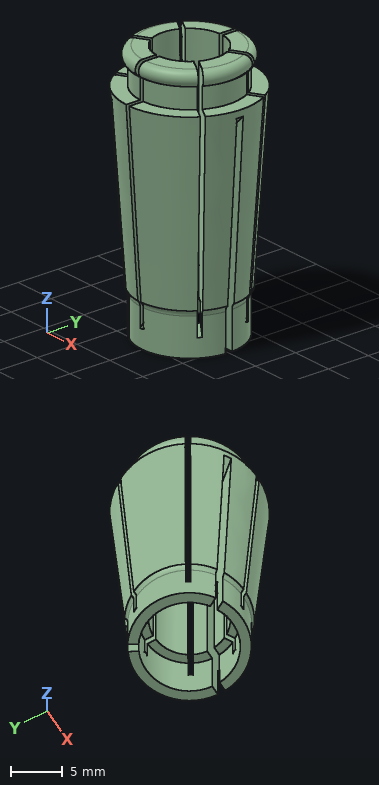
import cadquery as cq
import math

height = 30.5
neck_diameter = 12.0
neck_radius = neck_diameter / 2
bore_radius = 3.95

relief_radius = 4.9
relief_depth = 5.5

rim_round_radius = 0.9
rim_radius = 6.6
rim_center_radius = rim_radius - rim_round_radius
rim_center_z = height - rim_round_radius
rim_bottom_z = rim_center_z - math.sqrt(rim_round_radius**2 - (neck_radius - rim_center_radius) ** 2)

taper_top_z = 26.3
taper_top_radius = 7.75
taper_bottom_z = 5.15
taper_bottom_radius = 6.28

blend_bottom_z = 4.5
blend_height = taper_bottom_z - blend_bottom_z
blend_width = taper_bottom_radius - neck_radius
blend_radius = (blend_height**2 + blend_width**2) / (2 * blend_width)
blend_half_angle = math.asin(blend_height / blend_radius) / 2
blend_middle = (
    neck_radius + blend_radius * (1 - math.cos(blend_half_angle)),
    blend_bottom_z + blend_radius * math.sin(blend_half_angle),
)

top_slot_count = 6
top_slot_first_angle = 30.0
top_slot_width = 0.5
top_slot_end_z = 2.2

bottom_slot_count = 3
bottom_slot_first_angle = 0.0
bottom_slot_width = 0.8
bottom_slot_end_z = 25.47

clearance = 1.52
slot_inner_radius = bore_radius - clearance
slot_outer_radius = taper_top_radius + clearance


def make_body():
    """Revolve the outer outline around Z."""
    outline = (
        cq.Workplane("XZ")
        .moveTo(0, 0)
        .lineTo(neck_radius, 0)
        .lineTo(neck_radius, blend_bottom_z)
        .threePointArc(blend_middle, (taper_bottom_radius, taper_bottom_z))
        .lineTo(taper_top_radius, taper_top_z)
        .lineTo(neck_radius, taper_top_z)
        .lineTo(neck_radius, rim_bottom_z)
        .threePointArc((rim_radius, rim_center_z), (rim_center_radius, height))
        .lineTo(0, height)
        .close()
    )
    return outline.revolve(360, (0, 0, 0), (0, 1, 0))


def make_bore():
    """Through bore with a wider relief at the bottom."""
    bore = cq.Workplane("XY").circle(bore_radius).extrude(height)
    relief = cq.Workplane("XY").circle(relief_radius).extrude(relief_depth)
    return bore.union(relief)


def make_slot(width, open_z, end_z, end_radius, angle):
    """Radial slot from open_z to a 45 degree end that reaches end_z at end_radius."""
    slope = math.copysign(1, end_z - open_z)
    inner_end_z = end_z + (slot_inner_radius - end_radius) * slope
    outer_end_z = end_z + (slot_outer_radius - end_radius) * slope
    return (
        cq.Workplane("XZ")
        .moveTo(slot_inner_radius, open_z)
        .lineTo(slot_outer_radius, open_z)
        .lineTo(slot_outer_radius, outer_end_z)
        .lineTo(slot_inner_radius, inner_end_z)
        .close()
        .extrude(width / 2, both=True)
        .rotate((0, 0, 0), (0, 0, 1), angle)
    )


taper_slope = (taper_top_radius - taper_bottom_radius) / (taper_top_z - taper_bottom_z)
bottom_slot_end_radius = taper_top_radius - (taper_top_z - bottom_slot_end_z) * taper_slope

result = make_body().cut(make_bore())

for i in range(top_slot_count):
    slot_angle = top_slot_first_angle + i * 360 / top_slot_count
    result = result.cut(
        make_slot(top_slot_width, height + clearance, top_slot_end_z, neck_radius, slot_angle)
    )

for i in range(bottom_slot_count):
    slot_angle = bottom_slot_first_angle + i * 360 / bottom_slot_count
    result = result.cut(
        make_slot(bottom_slot_width, -clearance, bottom_slot_end_z, bottom_slot_end_radius, slot_angle)
    )